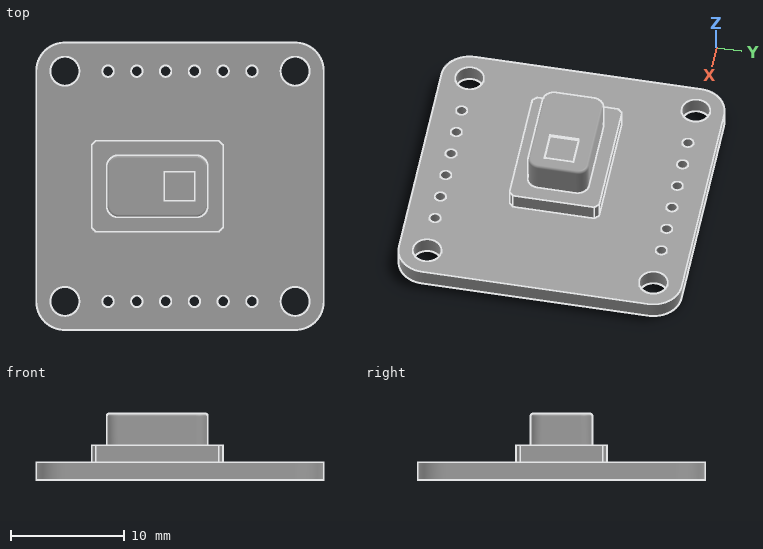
import cadquery as cq

board_side = 25.4
board_thickness = 1.6
board_corner_radius = 2.55

mount_hole_diameter = 2.55
hole_edge_distance = 2.55
hole_row_offset = board_side / 2 - hole_edge_distance
pin_hole_diameter = 1.0
pin_pitch = 2.55
pins_per_row = 6

sensor_center_x = -2.0
base_length = 11.6
base_width = 8.05
base_height = 1.5
base_chamfer = 0.38

total_height = 5.9
cap_length = 8.95
cap_width = 5.49
cap_height = total_height - board_thickness - base_height
cap_corner_radius = 1.05
cap_top_fillet = 0.25

window_length = 2.7
window_width = 2.6
window_depth = 0.2
window_center_x = -0.05


def block(length, width, height, center_x, bottom_z):
    """Box centred on Y = 0 that stands on the given height."""
    return (
        cq.Workplane("XY")
        .box(length, width, height, centered=(True, True, False))
        .translate((center_x, 0, bottom_z))
    )


def make_board():
    board = block(board_side, board_side, board_thickness, 0, 0).edges("|Z").fillet(board_corner_radius)
    mount_span = 2 * hole_row_offset
    board = (
        board.faces(">Z").workplane(origin=(0, 0, 0))
        .rarray(mount_span, mount_span, 2, 2)
        .hole(mount_hole_diameter)
    )
    return (
        board.faces(">Z").workplane(origin=(0, 0, 0))
        .rarray(pin_pitch, mount_span, pins_per_row, 2)
        .hole(pin_hole_diameter)
    )


def make_sensor():
    base = block(base_length, base_width, base_height, sensor_center_x, board_thickness)
    base = base.edges("|Z").chamfer(base_chamfer)
    cap_bottom = board_thickness + base_height
    cap = block(cap_length, cap_width, cap_height, sensor_center_x, cap_bottom)
    cap = cap.edges("|Z").fillet(cap_corner_radius)
    cap = cap.faces(">Z").edges().fillet(cap_top_fillet)
    window = block(window_length, window_width, window_depth, window_center_x, total_height - window_depth)
    return base.union(cap.cut(window))


result = make_board().union(make_sensor())